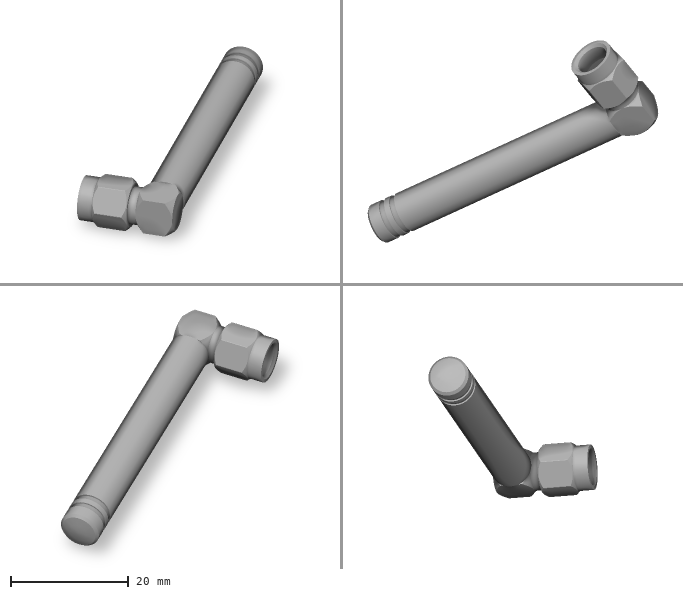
import cadquery as cq
import math


overall_length = 55.75
whip_diameter = 7.0
groove_diameter = 6.5
elbow_width = 6.5

connector_reach = 13.45
sleeve_length = 2.55
sleeve_diameter = 7.75
hex_length = 6.2
hex_across_flats = 8.0
hex_corner_diameter = 9.15
bore_diameter = 5.6
bore_mouth_diameter = 6.5
bore_depth = 3.2
socket_diameter = 0.95
socket_depth = 1.9

dome_height = 0.45
tip_chamfer = 0.45
groove_width = 1.0
groove_starts = [2.95, 4.95]

elbow_half = elbow_width / 2
open_end_x = -connector_reach
hex_start_x = open_end_x + sleeve_length
hex_end_x = hex_start_x + hex_length
whip_base_y = elbow_half
tip_y = overall_length - hex_corner_diameter / 2


def x_cylinder(diameter, start_x, end_x):
    """Cylinder on the X axis between two stations."""
    return cq.Workplane("YZ", origin=(start_x, 0, 0)).circle(diameter / 2).extrude(end_x - start_x)


def turned_envelope(end_radius, outer_radius, start_x, end_x):
    """Round bar on the X axis with a 45 degree cone at each end."""
    cone_length = outer_radius - end_radius
    return (
        cq.Workplane("XY")
        .moveTo(start_x, 0)
        .lineTo(start_x, end_radius)
        .lineTo(start_x + cone_length, outer_radius)
        .lineTo(end_x - cone_length, outer_radius)
        .lineTo(end_x, end_radius)
        .lineTo(end_x, 0)
        .close()
        .revolve(360, (0, 0, 0), (1, 0, 0))
    )


def make_hex():
    """Hexagon with corners toward +Y and -Y, corners rounded and ends coned."""
    across_corners = hex_across_flats / math.cos(math.pi / 6)
    blank = cq.Workplane("YZ", origin=(hex_start_x, 0, 0)).polygon(6, across_corners).extrude(hex_length)
    envelope = turned_envelope(sleeve_diameter / 2, hex_corner_diameter / 2, hex_start_x, hex_end_x)
    return blank.intersect(envelope)


def make_elbow():
    """Square block whose corners are coned at both X ends."""
    blank = cq.Workplane("XY").box(elbow_width, elbow_width, elbow_width)
    corner_radius = elbow_half * math.sqrt(2)
    return blank.intersect(turned_envelope(elbow_half, corner_radius, -elbow_half, elbow_half))


def make_bore():
    """Blind bore with a 45 degree countersunk mouth."""
    mouth_depth = (bore_mouth_diameter - bore_diameter) / 2
    return (
        cq.Workplane("XY")
        .moveTo(open_end_x, 0)
        .lineTo(open_end_x, bore_mouth_diameter / 2)
        .lineTo(open_end_x + mouth_depth, bore_diameter / 2)
        .lineTo(open_end_x + bore_depth, bore_diameter / 2)
        .lineTo(open_end_x + bore_depth, 0)
        .close()
        .revolve(360, (0, 0, 0), (1, 0, 0))
    )


def make_connector():
    """Coupling nut, neck and elbow block, with a bore and contact hole."""
    sleeve = x_cylinder(sleeve_diameter, open_end_x, hex_start_x)
    neck = x_cylinder(elbow_width, hex_end_x, -elbow_half)
    bore_floor_x = open_end_x + bore_depth
    socket = x_cylinder(socket_diameter, bore_floor_x, bore_floor_x + socket_depth)
    shell = sleeve.union(make_hex()).union(neck).union(make_elbow())
    return shell.cut(make_bore()).cut(socket)


def make_whip():
    """Round rod along Y with a chamfered, domed tip and two grooves behind it."""
    radius = whip_diameter / 2
    shoulder_y = tip_y - dome_height
    dome_edge = radius - tip_chamfer
    dome_radius = (dome_edge**2 + dome_height**2) / (2 * dome_height)
    dome_mid_x = dome_edge / 2
    dome_mid_y = tip_y - dome_radius + math.sqrt(dome_radius**2 - dome_mid_x**2)
    rod = (
        cq.Workplane("XY")
        .moveTo(0, whip_base_y)
        .lineTo(radius, whip_base_y)
        .lineTo(radius, shoulder_y - tip_chamfer)
        .lineTo(dome_edge, shoulder_y)
        .threePointArc((dome_mid_x, dome_mid_y), (0, tip_y))
        .close()
        .revolve(360, (0, 0, 0), (0, 1, 0))
    )
    for groove_start in groove_starts:
        ring = (
            cq.Workplane("XZ", origin=(0, tip_y - groove_start, 0))
            .circle(radius)
            .circle(groove_diameter / 2)
            .extrude(groove_width)
        )
        rod = rod.cut(ring)
    return rod


connector = make_connector()
whip = make_whip()

result = cq.Compound.makeCompound([connector.val(), whip.val()])